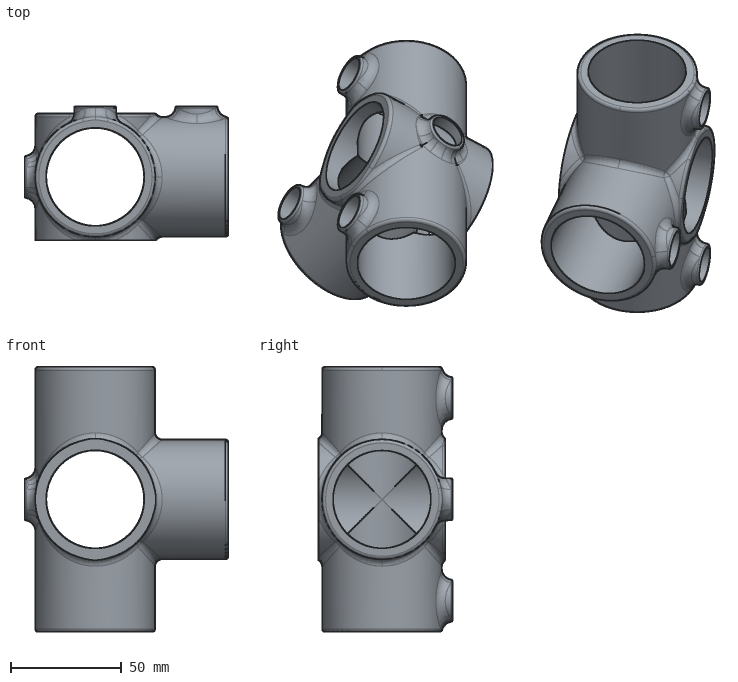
import cadquery as cq

PIPE_RADIUS = 27.0
BORE_RADIUS = 22.0
MAIN_HALF_LENGTH = 119.38 / 2
CROSS_HALF_LENGTH = 28.575
BRANCH_LENGTH = 59.94
JOINT_FILLET = 3.0
END_ROUND = 1.5

BOSS_RADIUS = 9.525
BOSS_REACH = 31.75
BOSS_HOLE_RADIUS = 7.9375
FLARE_CLEARANCE = 0.01
BOSS_FILLET = BOSS_REACH - PIPE_RADIUS - FLARE_CLEARANCE
BOSS_RIM_ROUND = 0.8
BOSS_OFFSET = 45.6

TRIM_STOCK = 20.0
CLEAR_WIDTH = 400.0

ORIGIN = cq.Vector(0, 0, 0)
X_AXIS = cq.Vector(1, 0, 0)
Y_AXIS = cq.Vector(0, 1, 0)
Z_AXIS = cq.Vector(0, 0, 1)

THROUGH_BOSS_BASES = [Z_AXIS * BOSS_OFFSET, Z_AXIS * -BOSS_OFFSET, X_AXIS * BOSS_OFFSET]
BLIND_BOSS_FACING = X_AXIS * -1


def rod(base, axis, length, radius):
    """Solid cylinder from a base point along a unit axis."""
    return cq.Workplane(cq.Solid.makeCylinder(radius, length, base, axis))


def centred_rod(axis, half_length, radius):
    """Solid cylinder reaching equally far both ways from the origin."""
    return rod(axis * -half_length, axis, 2 * half_length, radius)


def crossing_pipes():
    """Over-long main and cross pipes, solid."""
    main = centred_rod(Z_AXIS, MAIN_HALF_LENGTH + TRIM_STOCK, PIPE_RADIUS)
    return main.union(centred_rod(Y_AXIS, CROSS_HALF_LENGTH + TRIM_STOCK, PIPE_RADIUS))


def boss(base, facing):
    """Boss cylinder with a rounded rim."""
    rim = cq.selectors.DirectionMinMaxSelector(facing)
    return rod(base, facing, BOSS_REACH, BOSS_RADIUS).faces(rim).edges().fillet(BOSS_RIM_ROUND)


def blended_pipes():
    """Over-long main, cross and branch pipes with their joints filleted.

    The plain blind boss takes part because it ends the joints that meet tangentially under it.
    """
    pipes = crossing_pipes().union(rod(ORIGIN, X_AXIS, BRANCH_LENGTH + TRIM_STOCK, PIPE_RADIUS))
    pipes = pipes.union(rod(ORIGIN, BLIND_BOSS_FACING, BOSS_REACH, BOSS_RADIUS))
    return pipes.edges("%ELLIPSE").fillet(JOINT_FILLET)


def trim_cross_pipe(body):
    """Cut the cross pipe to length and round its +Y end."""
    slab = cq.Workplane().box(CLEAR_WIDTH, 2 * CROSS_HALF_LENGTH, CLEAR_WIDTH)
    return body.intersect(slab).faces(">Y").edges().fillet(END_ROUND)


def flare_blind_boss(body):
    """Replace the plug of material around the blind boss by one with the flared boss."""
    plug = rod(ORIGIN, BLIND_BOSS_FACING, BOSS_REACH, BOSS_RADIUS + BOSS_FILLET)
    flared = crossing_pipes().union(boss(ORIGIN, BLIND_BOSS_FACING))
    flared = flared.edges("%BSPLINE").fillet(BOSS_FILLET)
    return body.cut(plug).union(flared.intersect(plug))


def add_through_boss(body, base):
    """Add one +Y boss and flare it where it meets its pipe."""
    body = body.union(boss(base, Y_AXIS))
    top = base + Y_AXIS * BOSS_REACH
    half_size = cq.Vector(1, 1, 1) * (BOSS_RADIUS + BOSS_RIM_ROUND)
    low = top - half_size
    high = top + half_size
    foot = cq.selectors.BoxSelector(low.toTuple(), high.toTuple(), boundingbox=True)
    return body.edges("%BSPLINE").edges(foot).fillet(BOSS_FILLET)


def trim_main_and_branch(body):
    """Cut the main and branch pipes to length and round their ends."""
    block = cq.Workplane().box(2 * BRANCH_LENGTH, CLEAR_WIDTH, 2 * MAIN_HALF_LENGTH)
    body = body.intersect(block)
    for end in (">X", ">Z", "<Z"):
        body = body.faces(end).edges().fillet(END_ROUND)
    return body


def bore_pipes(body):
    """Open main and cross pipes right through, and the branch from the centre outwards."""
    body = body.cut(centred_rod(Z_AXIS, MAIN_HALF_LENGTH, BORE_RADIUS))
    body = body.cut(centred_rod(Y_AXIS, CROSS_HALF_LENGTH, BORE_RADIUS))
    return body.cut(rod(ORIGIN, X_AXIS, BRANCH_LENGTH, BORE_RADIUS))


def drill_bosses(body):
    """Through holes open into the bores; the blind hole stops at the cross pipe surface."""
    for base in THROUGH_BOSS_BASES:
        body = body.cut(rod(base, Y_AXIS, BOSS_REACH, BOSS_HOLE_RADIUS))
    blind = rod(ORIGIN, BLIND_BOSS_FACING, BOSS_REACH, BOSS_HOLE_RADIUS)
    return body.cut(blind.cut(centred_rod(Y_AXIS, CROSS_HALF_LENGTH, PIPE_RADIUS)))


body = flare_blind_boss(trim_cross_pipe(blended_pipes()))
for base in THROUGH_BOSS_BASES:
    body = add_through_boss(body, base)
body = trim_main_and_branch(body)
result = drill_bosses(bore_pipes(body))